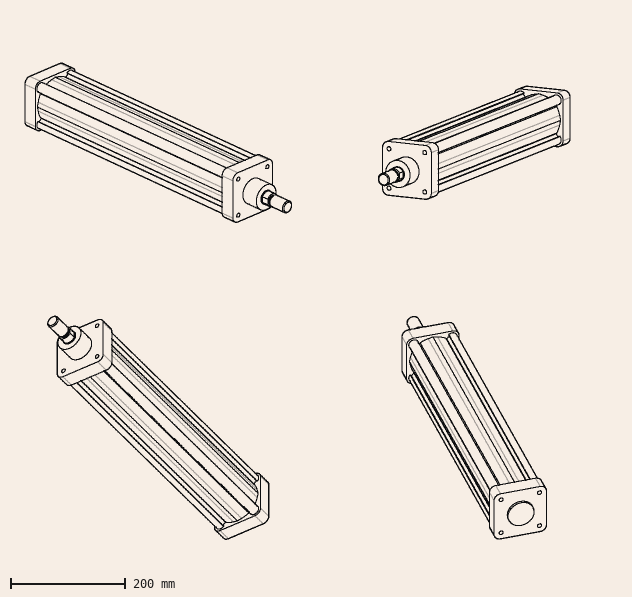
import cadquery as cq
import math

total_length = 616.0
rear_boss_length = 4.5
rear_cap_length = 26.5
front_cap_start = 501.0
front_cap_length = 27.0
front_boss_length = 34.0

cap_width = 96.0
cap_corner_radius = 12.0
boss_radius = 24.0
hole_spacing = 70.0
hole_radius = 4.0
hole_depth = 16.0

column_radius = 9.0
ridge_height = 43.0
flank_half_width = 8.5
flank_height = 41.0
web_thickness = 12.5
shoulder_height = 36.0
shoulder_half_width = 23.5
shoulder_radius = 53.5

shank_radius = 13.0
collar_length = 2.0
flats_radius = 12.5
flats_length = 13.5
flats_width = 22.0
neck_length = 4.0
neck_radius = 9.0
thread_radius = 11.0
thread_chamfer = 2.0

barrel_start = rear_boss_length + rear_cap_length
front_cap_end = front_cap_start + front_cap_length
front_boss_end = front_cap_end + front_boss_length
flats_start = front_boss_end + collar_length
flats_end = flats_start + flats_length
thread_start = flats_end + neck_length


def section(x):
    """Workplane across the axis at station x; local axes are global Y and Z."""
    return cq.Workplane("YZ", origin=(x, 0, 0))


def cylinder(start, end, radius):
    return section(start).circle(radius).extrude(end - start)


def cap_plate(start, length):
    """Square plate with its four long edges rounded."""
    plate = section(start).rect(cap_width, cap_width).extrude(length)
    return plate.edges("|X").fillet(cap_corner_radius)


def bolt_holes(start, depth):
    """Four blind holes, one in line with each barrel column."""
    centers = section(start).rect(hole_spacing, hole_spacing, forConstruction=True).vertices()
    return centers.circle(hole_radius).extrude(depth)


def make_rear_cap():
    cap = cap_plate(rear_boss_length, rear_cap_length)
    boss = cylinder(0, rear_boss_length, boss_radius)
    return cap.union(boss).cut(bolt_holes(rear_boss_length, hole_depth))


def make_front_cap():
    cap = cap_plate(front_cap_start, front_cap_length)
    boss = cylinder(front_cap_end, front_boss_end, boss_radius)
    rod_bore = cylinder(front_cap_start, front_boss_end, shank_radius)
    return cap.union(boss).cut(bolt_holes(front_cap_end, -hole_depth)).cut(rod_bore)


def make_barrel():
    """Extrusion with four crested sides and a round column at each corner.

    A shallow groove beside each column leaves a thin diagonal web joining it to the core.
    """
    column_center = hole_spacing / 2
    column_offset = column_radius * math.sin(math.radians(45))
    column_tip = column_center + column_offset
    column_side = (column_center + column_offset, column_center - column_offset)
    shoulder = (shoulder_height, shoulder_half_width)

    def web_foot(point):
        """Point moved square to the corner diagonal onto the near face of the web."""
        middle = (point[0] + point[1]) / 2
        web_offset = web_thickness / 2 * math.sin(math.radians(45))
        return middle + web_offset, middle - web_offset

    def turned(point, quarter):
        """Point rotated about the axis by a number of quarter turns."""
        y, z = point
        for _ in range(quarter):
            y, z = -z, y
        return y, z

    profile = section(barrel_start).moveTo(ridge_height, 0)
    for quarter in range(4):
        profile = (
            profile.lineTo(*turned((flank_height, flank_half_width), quarter))
            .radiusArc(turned(shoulder, quarter), -shoulder_radius)
            .lineTo(*turned(web_foot(shoulder), quarter))
            .lineTo(*turned(web_foot(column_side), quarter))
            .lineTo(*turned(column_side, quarter))
            .threePointArc(turned((column_tip, column_tip), quarter), turned(column_side[::-1], quarter))
            .lineTo(*turned(web_foot(column_side)[::-1], quarter))
            .lineTo(*turned(web_foot(shoulder)[::-1], quarter))
            .lineTo(*turned(shoulder[::-1], quarter))
            .radiusArc(turned((flank_half_width, flank_height), quarter), -shoulder_radius)
            .lineTo(*turned((0, ridge_height), quarter))
        )
    return profile.close().extrude(front_cap_start - barrel_start)


def make_rod():
    shank = cylinder(front_cap_start, flats_start, shank_radius)
    flats_block = section(flats_start).rect(flats_width, 2 * flats_radius).extrude(flats_length)
    flats = cylinder(flats_start, flats_end, flats_radius).intersect(flats_block)
    neck = cylinder(flats_end, thread_start, neck_radius)
    thread = cylinder(thread_start, total_length, thread_radius).faces(">X").chamfer(thread_chamfer)
    return shank.union(flats).union(neck).union(thread)


rear_cap = make_rear_cap()
barrel = make_barrel()
front_cap = make_front_cap()
rod = make_rod()

result = cq.Compound.makeCompound([rear_cap.val(), barrel.val(), front_cap.val(), rod.val()])